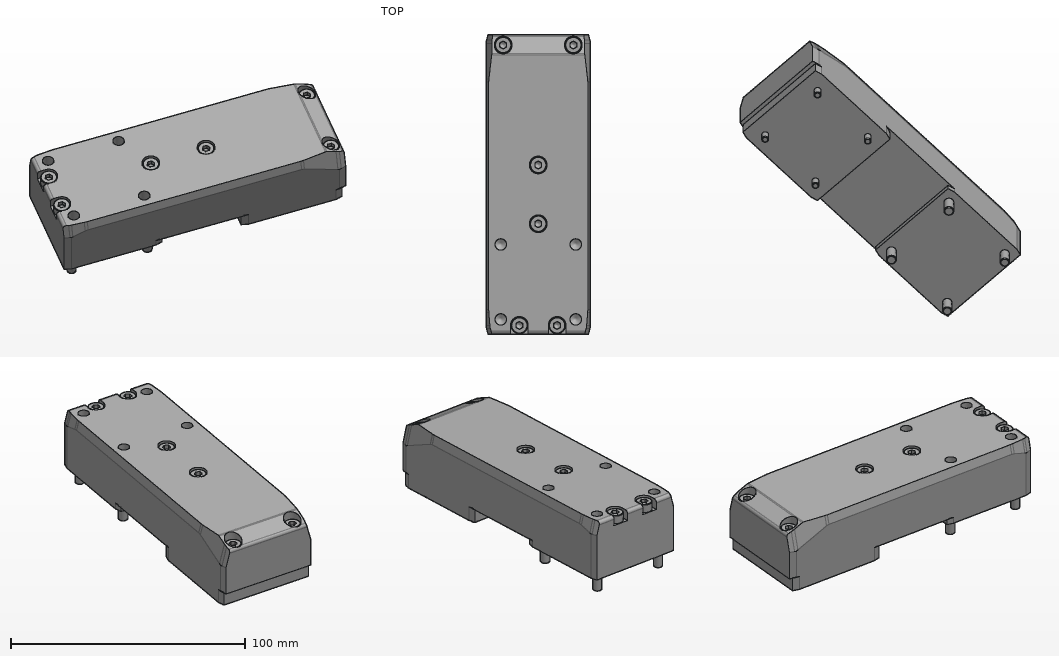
import cadquery as cq
import math

LENGTH = 128.0
WIDTH = 44.5
HEIGHT = 35.5
HALF_LENGTH = LENGTH / 2
HALF_WIDTH = WIDTH / 2

SPAN_Z = 10.9
FRONT_FOOT_Z = 8.0
REAR_FOOT_Z = 4.4
FRONT_FOOT_END_Y = -19.5
REAR_FOOT_START_Y = 16.4
REAR_FOOT_END_Y = 62.3

DRAFT_SLOPE = math.tan(math.radians(15))
CORNER_LENGTH = 3.1
CORNER_INSET = CORNER_LENGTH * DRAFT_SLOPE

REAR_SLOPE_START_Y = 55.7
REAR_SLOPE = math.tan(math.radians(23.3))
EDGE_RADIUS = 1.5

BEVEL_Z = 31.2
REAR_BEVEL_Y = 44.3
FRONT_BEVEL_Y = -54.0
FRONT_CORNER_BEVEL_Z = 29.2
REAR_BLEND_RADIUS = 11.0
FRONT_BLEND_RADIUS = 17.0
FRONT_CORNER_BLEND_RADIUS = 7.0
MATCH_TOLERANCE = 0.01

HEAD_DIAMETER = 7.0
HEAD_EDGE = 0.3
HEAD_HEIGHT = 3.8
COUNTERBORE_DIAMETER = 7.5
COUNTERBORE_DEPTH = 4.6
SOCKET_SIDES = 6
SOCKET_FLATS = 3.0
SOCKET_DEPTH = 1.9
FRONT_SCREW_X = 8.0
FRONT_SCREW_Y = -60.2
REAR_SCREW_X = 15.0
REAR_SCREW_Y = 59.5
REAR_HEAD_DROP = 3.6
CENTRE_SCREW_YS = (8.3, -16.8)

HOLE_DIAMETER = 4.9
HOLE_DEPTH = 7.7
HOLE_PITCH = 32.0
HOLE_CENTRE_Y = -41.6
DRILL_TIP_ANGLE = 118

PIN_EDGE = 0.4
PINS = (
    (4.0, 17.0, -59.0, FRONT_FOOT_Z),
    (4.2, 17.0, -24.6, FRONT_FOOT_Z),
    (3.0, 15.5, 23.8, REAR_FOOT_Z),
    (3.0, 15.5, 54.8, REAR_FOOT_Z),
)
PIN_ROOT = 1.3


def chamfered_slab(start_y, end_y, bottom_z, top_z):
    """Full-width slab with the four shallow corner chamfers."""
    inner_x = HALF_WIDTH - CORNER_INSET
    right_side = [
        (inner_x, start_y),
        (HALF_WIDTH, start_y + CORNER_LENGTH),
        (HALF_WIDTH, end_y - CORNER_LENGTH),
        (inner_x, end_y),
    ]
    left_side = [(-x, y) for x, y in reversed(right_side)]
    outline = cq.Workplane("XY").workplane(offset=bottom_z).polyline(right_side + left_side).close()
    return outline.extrude(top_z - bottom_z)


def top_profile():
    """Side profile with the sloped rear end and rounded top edges."""
    rear_z = HEIGHT - (HALF_LENGTH - REAR_SLOPE_START_Y) * REAR_SLOPE
    profile = [
        (-HALF_LENGTH, 0),
        (-HALF_LENGTH, HEIGHT),
        (REAR_SLOPE_START_Y, HEIGHT),
        (HALF_LENGTH, rear_z),
        (HALF_LENGTH, 0),
    ]
    block = cq.Workplane("YZ").polyline(profile).close().extrude(HALF_WIDTH, both=True)
    slope_start = (0, REAR_SLOPE_START_Y, HEIGHT)
    slope_end = (0, HALF_LENGTH, rear_z)
    front_top = (0, -HALF_LENGTH, HEIGHT)
    for corner in (slope_start, slope_end, front_top):
        block = block.edges(cq.selectors.NearestToPointSelector(corner)).fillet(EDGE_RADIUS)
    return block


def crown_side():
    """Solid whose right side is the drafted crown, a plan outline swept along the draft direction."""
    rear_corner_y = HALF_LENGTH - CORNER_LENGTH
    front_corner_y = CORNER_LENGTH - HALF_LENGTH
    rear_corner_z = BEVEL_Z - (rear_corner_y - REAR_BEVEL_Y) * REAR_SLOPE
    start_heights = [
        (-HALF_LENGTH, FRONT_CORNER_BEVEL_Z - CORNER_LENGTH),
        (front_corner_y, FRONT_CORNER_BEVEL_Z),
        (FRONT_BEVEL_Y, BEVEL_Z),
        (REAR_BEVEL_Y, BEVEL_Z),
        (rear_corner_y, rear_corner_z),
        (HALF_LENGTH, rear_corner_z - CORNER_LENGTH),
    ]
    side = [(HALF_WIDTH + DRAFT_SLOPE * z, y) for y, z in start_heights]
    far_x = -2 * WIDTH
    outline = side + [(far_x, HALF_LENGTH), (far_x, -HALF_LENGTH)]
    wire = cq.Workplane("XY").polyline(outline).close().val()
    blends = (
        (front_corner_y, FRONT_CORNER_BLEND_RADIUS),
        (FRONT_BEVEL_Y, FRONT_BLEND_RADIUS),
        (REAR_BEVEL_Y, REAR_BLEND_RADIUS),
        (rear_corner_y, REAR_BLEND_RADIUS),
    )
    for blend_y, radius in blends:
        corners = [vertex for vertex in wire.Vertices() if abs(vertex.Y - blend_y) < MATCH_TOLERANCE]
        wire = wire.fillet2D(radius, corners)
    lean = cq.Vector(-DRAFT_SLOPE * HEIGHT, 0, HEIGHT)
    return cq.Workplane(cq.Solid.extrudeLinear(wire, [], lean))


def body():
    block = chamfered_slab(-HALF_LENGTH, HALF_LENGTH, SPAN_Z, HEIGHT)
    right_crown = crown_side()
    block = block.intersect(top_profile()).intersect(right_crown).intersect(right_crown.mirror("YZ"))
    front_foot = chamfered_slab(-HALF_LENGTH, FRONT_FOOT_END_Y, FRONT_FOOT_Z, SPAN_Z)
    rear_foot = chamfered_slab(REAR_FOOT_START_Y, REAR_FOOT_END_Y, REAR_FOOT_Z, SPAN_Z)
    return block.union(front_foot).union(rear_foot)


def cylinder(diameter, x, y, bottom_z, top_z):
    base = cq.Workplane("XY").workplane(offset=bottom_z).center(x, y)
    return base.circle(diameter / 2).extrude(top_z - bottom_z)


def drill_tip(diameter, x, y, z):
    """Cone that points down from the bottom of a drilled hole."""
    radius = diameter / 2
    depth = radius / math.tan(math.radians(DRILL_TIP_ANGLE / 2))
    return cq.Workplane(cq.Solid.makeCone(radius, 0, depth, cq.Vector(x, y, z), cq.Vector(0, 0, -1)))


def screw_head(x, y, seat_z):
    top_z = seat_z + HEAD_HEIGHT
    head = cylinder(HEAD_DIAMETER, x, y, seat_z, top_z).faces(">Z").edges().chamfer(HEAD_EDGE)
    socket_z = top_z - SOCKET_DEPTH
    socket = cq.Workplane("XY").workplane(offset=socket_z).center(x, y)
    socket = socket.polygon(SOCKET_SIDES, SOCKET_FLATS, circumscribed=True).extrude(SOCKET_DEPTH)
    return head.cut(socket).cut(drill_tip(SOCKET_FLATS, x, y, socket_z))


def add_screw(part, x, y, seat_z, open_front=False):
    """Counterbore with a screw head seated on its floor; the pocket may run out of the front end."""
    pocket = cylinder(COUNTERBORE_DIAMETER, x, y, seat_z, HEIGHT)
    if open_front:
        run_out = y + HALF_LENGTH
        slot = cq.Workplane("XY").box(
            COUNTERBORE_DIAMETER, run_out, HEIGHT - seat_z, centered=(True, False, False)
        )
        pocket = pocket.union(slot.translate((x, -HALF_LENGTH, seat_z)))
    return part.cut(pocket).union(screw_head(x, y, seat_z))


def pin(diameter, x, y, foot_z):
    shank = cylinder(diameter, x, y, 0, foot_z + PIN_ROOT)
    return shank.faces("<Z").edges().chamfer(PIN_EDGE)


result = body()

seat = HEIGHT - COUNTERBORE_DEPTH
hole_floor = HEIGHT - HOLE_DEPTH
rear_seat = HEIGHT - REAR_HEAD_DROP - HEAD_HEIGHT
for screw_y in CENTRE_SCREW_YS:
    result = add_screw(result, 0, screw_y, seat)
for side in (-1, 1):
    result = add_screw(result, side * FRONT_SCREW_X, FRONT_SCREW_Y, seat, open_front=True)
    result = add_screw(result, side * REAR_SCREW_X, REAR_SCREW_Y, rear_seat)

    hole_x = side * HOLE_PITCH / 2
    for hole_y in (HOLE_CENTRE_Y - HOLE_PITCH / 2, HOLE_CENTRE_Y + HOLE_PITCH / 2):
        result = result.cut(cylinder(HOLE_DIAMETER, hole_x, hole_y, hole_floor, HEIGHT))
        result = result.cut(drill_tip(HOLE_DIAMETER, hole_x, hole_y, hole_floor))

    for diameter, pin_x, pin_y, foot_z in PINS:
        result = result.union(pin(diameter, side * pin_x, pin_y, foot_z))